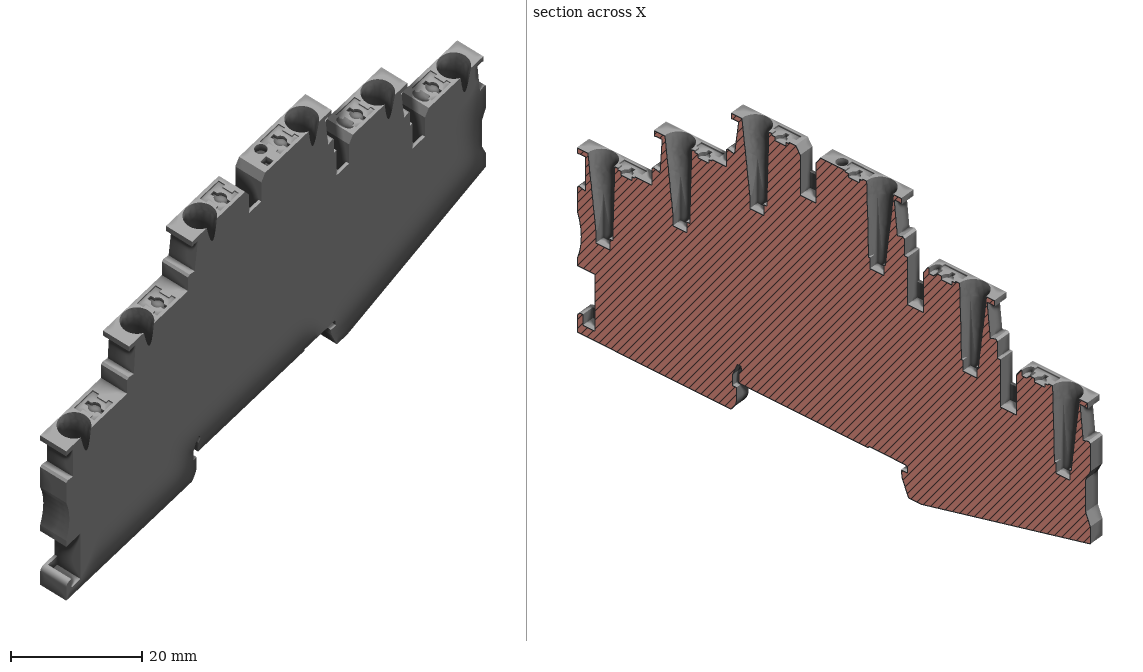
import cadquery as cq

THICKNESS = 5.1
LENGTH = 102.2
HEIGHT = 56.4
REAR = LENGTH / 2
FRONT = -LENGTH / 2

TIERS = 3
TIER_RISE = 10.6
REAR_PITCH = 18.5
FRONT_PITCH = 14.8

SHOULDER_DROP = 7.2
TIP_DROP = 1.0
NIB = 0.4
NIB_HEIGHT = 0.3
REAR_TIP_INSET = 0.6
REAR_NECK_TOP_INSET = 2.0
REAR_NECK_BOTTOM_INSET = 1.4
FRONT_NECK_INSET = 1.6
FRONT_TIP_LEAN = 0.5
FRONT_NECK_LEAN = 0.4

SLOT_WIDTH = 3.1
SLOT_DEPTH = 5.9
SLOT_CHAMFER_Y = 0.9
SLOT_CHAMFER_Z = 1.4
SLOT_WALL_OFFSET = 0.6
TOP_SLOT_REAR_Y = -3.6
RIM = 0.56
SLOT_POCKET_DEPTH = 3.1

FUNNEL_X = 2.8
FUNNEL_RADIUS = 2.7
FUNNEL_END_RADIUS = 1.6
FUNNEL_DEPTH = 14.3
FUNNEL_LEAN = 0.6
REAR_FUNNEL_INSET = 4.3
FRONT_FUNNEL_INSET = 4.8
WIRE_HOLE_X = 3.1
WIRE_HOLE_Y = 2.7
WIRE_HOLE_CENTER_X = 2.7
REAR_WIRE_HOLE_SHIFT = -0.6
FRONT_WIRE_HOLE_SHIFT = 0.3
WIRE_HOLE_DEPTH = 16.4

REAR_RECESS_OFFSET = 5.2
FRONT_RECESS_OFFSET = 5.0
RECESS_LENGTH = 4.6
RECESS_DEPTH = 0.3
TAB_WIDTH = 1.8
TAB_LENGTH = 0.6
CROSS_RADIUS = 1.0
CROSS_SLOT_START = 1.1
CROSS_SLOT_WIDTH = 0.8
CROSS_DEPTH = 1.0

OVAL_OFFSET = 7.8
OVAL_X = 2.7
OVAL_RADIUS_X = 1.5
OVAL_RADIUS_Y = 0.97
OVAL_FLOOR_RADIUS_X = 1.4
OVAL_FLOOR_RADIUS_Y = 0.4
OVAL_FLOOR_SHIFT = 0.5
OVAL_DEPTH = 1.0
ROUND_POCKET_CENTER = (1.6, 0.6)
ROUND_POCKET_RADIUS = 1.0
SQUARE_POCKET_CENTER = (3.9, -0.7)
SQUARE_POCKET_SIDE = 1.4
SMALL_POCKET_DEPTH = 1.5


def tier_top(tier):
    return HEIGHT - (TIERS - 1 - tier) * TIER_RISE


def rear_shoulder(tier):
    return REAR - tier * REAR_PITCH


def front_shoulder(tier):
    return FRONT + tier * FRONT_PITCH


def front_tip(tier):
    return front_shoulder(tier) + tier * FRONT_TIP_LEAN


def slot_rear_wall(tier):
    """Y of the slot wall nearest the rear, for the slot in front of a rear block."""
    if tier == TIERS - 1:
        return TOP_SLOT_REAR_Y
    return rear_shoulder(tier + 1) + SLOT_WALL_OFFSET + SLOT_WIDTH


def neck(shoulder_y, bottom_y, top_y, tip_y, top_z, outward):
    """Neck profile, from the shoulder up to the top of the overhanging tip."""
    shoulder_z = top_z - SHOULDER_DROP
    tip_z = top_z - TIP_DROP
    return [
        (shoulder_y, shoulder_z - NIB_HEIGHT),
        (shoulder_y - outward * NIB, shoulder_z),
        (bottom_y, shoulder_z - NIB_HEIGHT),
        (top_y, tip_z),
        (tip_y - outward * NIB, tip_z),
        (tip_y, tip_z - NIB_HEIGHT / 2),
        (tip_y, top_z),
    ]


def front_neck(tier):
    shoulder = front_shoulder(tier)
    neck_bottom = shoulder + FRONT_NECK_INSET
    neck_top = neck_bottom + tier * FRONT_NECK_LEAN
    return neck(shoulder, neck_bottom, neck_top, front_tip(tier), tier_top(tier), -1)


def rear_neck(tier):
    """Rear neck profile, from the top of the tip down to the shoulder."""
    shoulder = rear_shoulder(tier)
    points = neck(
        shoulder,
        shoulder - REAR_NECK_BOTTOM_INSET,
        shoulder - REAR_NECK_TOP_INSET,
        shoulder - REAR_TIP_INSET,
        tier_top(tier),
        1,
    )
    return points[::-1]


def slot_profile(tier):
    """Slot from its front wall down, across the floor and up to the rear block's chamfer."""
    top = tier_top(tier)
    floor = top - SLOT_DEPTH
    rear_wall = slot_rear_wall(tier)
    front_wall = rear_wall - SLOT_WIDTH
    if tier == TIERS - 1:
        entry = [
            (front_wall - SLOT_CHAMFER_Y, top),
            (front_wall, top - SLOT_CHAMFER_Z),
        ]
    else:
        entry = [
            (rear_shoulder(tier + 1), top),
            (front_wall, top),
        ]
    return entry + [
        (front_wall, floor),
        (rear_wall, floor),
        (rear_wall, top - SLOT_CHAMFER_Z),
        (rear_wall + SLOT_CHAMFER_Y, top),
    ]


def upper_profile():
    """All stepped points from the lowest front neck over the top to the lowest rear neck."""
    points = []
    for tier in range(TIERS):
        if tier > 0:
            points.append((front_shoulder(tier), tier_top(tier - 1)))
        points += front_neck(tier)
    for tier in reversed(range(TIERS)):
        points += slot_profile(tier)
        points += rear_neck(tier)
    return points


REAR_SIDE_AND_UNDERSIDE = [
    (REAR, 22.4),
    (50.2, 20.4),
    (50.2, 14.2),
    (REAR, 11.9),
    (REAR, 8.6),
    (17.4, 0.0),
    (14.8, 0.0),
    (13.5, 3.4),
    (13.4, 4.7),
    (14.6, 4.7),
    (14.6, 5.6),
    (14.3, 6.0),
    (7.0, 6.0),
    (7.0, 5.7),
    (-19.0, 5.7),
    (-18.9, 7.7),
    (-18.4, 8.4),
    (-18.6, 9.1),
    (-19.2, 9.1),
    (-20.1, 6.7),
    (-20.1, 4.7),
    (-19.3, 4.7),
    (-19.3, 2.9),
]
FRONT_FOOT_START = (-20.5, 0.0)
FRONT_FOOT_ARC_MID = (-19.6, 1.2)

NOTCH_Y = -47.6
NOTCH_BOTTOM = 4.0
NOTCH_TOP = 12.7
LIP_RADIUS = 0.9
LIP_THICKNESS = 1.2
LIP_POCKET_DEPTH = 2.0
HOLLOW_BOTTOM = 14.1
HOLLOW_TOP = 23.0
HOLLOW_DEPTH = 0.77
FRONT_NOTCH = [
    (NOTCH_Y, NOTCH_BOTTOM),
    (NOTCH_Y, NOTCH_TOP),
    (FRONT, NOTCH_TOP),
    (FRONT, HOLLOW_BOTTOM),
]


def make_plate():
    outline = cq.Workplane("YZ").moveTo(*FRONT_FOOT_START).lineTo(FRONT, 0)
    outline = outline.lineTo(FRONT, NOTCH_BOTTOM - LIP_RADIUS)
    outline = outline.radiusArc((FRONT + LIP_RADIUS, NOTCH_BOTTOM), LIP_RADIUS)
    for point in FRONT_NOTCH:
        outline = outline.lineTo(*point)
    hollow_middle = (FRONT + HOLLOW_DEPTH, (HOLLOW_BOTTOM + HOLLOW_TOP) / 2)
    outline = outline.threePointArc(hollow_middle, (FRONT, HOLLOW_TOP))
    for point in upper_profile() + REAR_SIDE_AND_UNDERSIDE:
        outline = outline.lineTo(*point)
    outline = outline.threePointArc(FRONT_FOOT_ARC_MID, FRONT_FOOT_START)
    return outline.close().extrude(THICKNESS)


def sink(x, y, z):
    """Workplane at a top-face position, with its origin there."""
    return cq.Workplane("XY", origin=(x, y, z))


def box_pocket(x, y, z, size_x, size_y, depth):
    return sink(x, y, z).rect(size_x, size_y).extrude(-depth)


def funnel(y, top, lean, hole_shift):
    """Tapered round mouth, leaning along Y, with a rectangular wire hole through it."""
    mouth = (
        sink(FUNNEL_X, y, top)
        .circle(FUNNEL_RADIUS)
        .workplane(offset=-FUNNEL_DEPTH)
        .center(0, lean)
        .circle(FUNNEL_END_RADIUS)
        .loft()
    )
    hole_y = y + hole_shift
    hole = box_pocket(WIRE_HOLE_CENTER_X, hole_y, top, WIRE_HOLE_X, WIRE_HOLE_Y, WIRE_HOLE_DEPTH)
    return mouth.union(hole)


def release_recess(y, top):
    """Shallow tabbed recess with a deeper round hole and cross slot in its floor."""
    middle = THICKNESS / 2
    recess = box_pocket(middle, y, top, THICKNESS - 2 * RIM, RECESS_LENGTH, RECESS_DEPTH)
    for side in (-1, 1):
        tab_y = y + side * (RECESS_LENGTH - TAB_LENGTH) / 2
        recess = recess.cut(box_pocket(FUNNEL_X, tab_y, top, TAB_WIDTH, TAB_LENGTH, RECESS_DEPTH))
    cross_end = THICKNESS - RIM
    cross_x = (CROSS_SLOT_START + cross_end) / 2
    cross_length = cross_end - CROSS_SLOT_START
    cross = box_pocket(cross_x, y, top, cross_length, CROSS_SLOT_WIDTH, CROSS_DEPTH)
    round_hole = sink(FUNNEL_X, y, top).circle(CROSS_RADIUS).extrude(-CROSS_DEPTH)
    return recess.union(cross).union(round_hole)


def oval_pocket(y, top):
    """Oval pocket whose rear wall slopes down to a narrower floor."""
    return (
        sink(OVAL_X, y, top)
        .ellipse(OVAL_RADIUS_X, OVAL_RADIUS_Y)
        .workplane(offset=-OVAL_DEPTH)
        .center(0, -OVAL_FLOOR_SHIFT)
        .ellipse(OVAL_FLOOR_RADIUS_X, OVAL_FLOOR_RADIUS_Y)
        .loft()
    )


def slot_pocket(tier):
    """Deepens a slot between two thin side rims."""
    y = slot_rear_wall(tier) - SLOT_WIDTH / 2
    floor = tier_top(tier) - SLOT_DEPTH
    return box_pocket(THICKNESS / 2, y, floor, THICKNESS - 2 * RIM, SLOT_WIDTH, SLOT_POCKET_DEPTH)


def lip_pocket():
    """Pocket behind the rounded lip of the latch notch, open to the +X side."""
    lip_back = FRONT + LIP_THICKNESS
    size_x = THICKNESS - RIM
    return box_pocket(
        RIM + size_x / 2,
        (lip_back + NOTCH_Y) / 2,
        NOTCH_BOTTOM,
        size_x,
        NOTCH_Y - lip_back,
        LIP_POCKET_DEPTH,
    )


result = make_plate().cut(lip_pocket())

for level in range(TIERS):
    level_top = tier_top(level)
    rear_funnel_y = rear_shoulder(level) - REAR_TIP_INSET - REAR_FUNNEL_INSET
    front_funnel_y = front_tip(level) + FRONT_FUNNEL_INSET
    result = result.cut(funnel(rear_funnel_y, level_top, -FUNNEL_LEAN, REAR_WIRE_HOLE_SHIFT))
    result = result.cut(funnel(front_funnel_y, level_top, FUNNEL_LEAN, FRONT_WIRE_HOLE_SHIFT))
    result = result.cut(release_recess(rear_funnel_y - REAR_RECESS_OFFSET, level_top))
    result = result.cut(release_recess(front_funnel_y + FRONT_RECESS_OFFSET, level_top))
    if level < TIERS - 1:
        result = result.cut(oval_pocket(rear_funnel_y - OVAL_OFFSET, level_top))
    result = result.cut(slot_pocket(level))

round_pocket = sink(*ROUND_POCKET_CENTER, HEIGHT).circle(ROUND_POCKET_RADIUS).extrude(-SMALL_POCKET_DEPTH)
square_pocket = box_pocket(
    *SQUARE_POCKET_CENTER, HEIGHT, SQUARE_POCKET_SIDE, SQUARE_POCKET_SIDE, SMALL_POCKET_DEPTH
)
result = result.cut(round_pocket).cut(square_pocket)